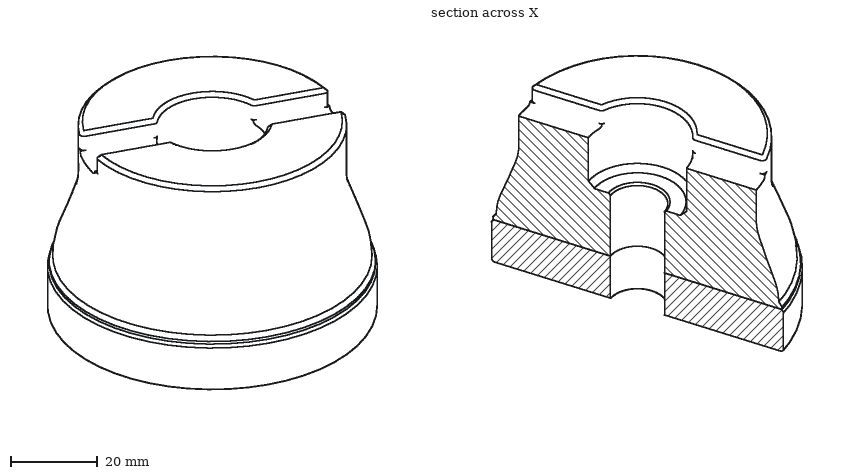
import cadquery as cq
import math

overall_height = 49.95
ring_diameter = 76.15
through_hole_diameter = 14.0

ring_height = 12.25
ring_top_diameter = 75.4
ring_chamfer_height = 0.8
ring_bottom_fillet = 0.9

boss_diameter = 62.0
shoulder_diameter = 73.7
lip_height = 0.7
lip_chamfer_height = 1.2
neck_angle = math.radians(20)
blend_radius = 15.2
boss_base_z = 35.8
edge_chamfer = 1.0

bore_diameter = 25.6
lower_bore_diameter = 25.4
bore_taper_top_z = 43.5
bore_taper_height = 1.15
seat_cone_top_z = 31.8
seat_cone_diameter = 22.85
seat_diameter = 22.5
seat_depth = 0.3
hole_chamfer = 0.5

slot_width = 9.9
slot_depth = 5.6
slot_floor_fillet = 0.9
slot_end_fillet = 1.1


def make_ring():
    outer_radius = ring_diameter / 2
    shoulder_z = ring_height - ring_chamfer_height
    ring = (
        cq.Workplane("XZ")
        .lineTo(outer_radius, 0)
        .lineTo(outer_radius, shoulder_z)
        .lineTo(ring_top_diameter / 2, ring_height)
        .lineTo(0, ring_height)
        .close()
        .revolve(360, (0, 0), (0, 1))
        .faces("<Z").edges().fillet(ring_bottom_fillet)
    )
    hole = cq.Workplane("XY").circle(through_hole_diameter / 2).extrude(ring_height)
    return ring.cut(hole)


def make_holder_blank():
    """Solid of revolution: two tangent arcs join the boss, the cone and the shoulder."""
    boss_radius = boss_diameter / 2
    shoulder_radius = shoulder_diameter / 2
    lip_radius = ring_top_diameter / 2
    lip_top_z = ring_height + lip_height

    blend_height = blend_radius * math.sin(neck_angle)
    blend_offset = blend_radius * (1 - math.cos(neck_angle))
    mid_height = blend_radius * math.sin(neck_angle / 2)
    mid_offset = blend_radius * (1 - math.cos(neck_angle / 2))
    cone_width = shoulder_radius - boss_radius - 2 * blend_offset
    cone_height = cone_width / math.tan(neck_angle)
    cone_top_z = boss_base_z - blend_height
    cone_bottom_z = cone_top_z - cone_height
    shoulder_z = cone_bottom_z - blend_height

    return (
        cq.Workplane("XZ")
        .moveTo(0, ring_height)
        .lineTo(lip_radius, ring_height)
        .lineTo(lip_radius, lip_top_z)
        .lineTo(shoulder_radius, lip_top_z + lip_chamfer_height)
        .lineTo(shoulder_radius, shoulder_z)
        .threePointArc(
            (shoulder_radius - mid_offset, shoulder_z + mid_height),
            (shoulder_radius - blend_offset, cone_bottom_z),
        )
        .lineTo(boss_radius + blend_offset, cone_top_z)
        .threePointArc(
            (boss_radius + mid_offset, boss_base_z - mid_height),
            (boss_radius, boss_base_z),
        )
        .lineTo(boss_radius, overall_height)
        .lineTo(0, overall_height)
        .close()
        .revolve(360, (0, 0), (0, 1))
    )


def make_bore():
    """Bore with a slight taper, a 45 degree seat cone and a chamfered through hole."""
    hole_radius = through_hole_diameter / 2
    bore_radius = bore_diameter / 2
    lower_radius = lower_bore_diameter / 2
    cone_radius = seat_cone_diameter / 2
    cone_bottom_z = seat_cone_top_z - (lower_radius - cone_radius)
    seat_z = cone_bottom_z - seat_depth
    return (
        cq.Workplane("XZ")
        .moveTo(0, ring_height)
        .lineTo(hole_radius, ring_height)
        .lineTo(hole_radius, seat_z - hole_chamfer)
        .lineTo(hole_radius + hole_chamfer, seat_z)
        .lineTo(seat_diameter / 2, seat_z)
        .lineTo(cone_radius, cone_bottom_z)
        .lineTo(lower_radius, seat_cone_top_z)
        .lineTo(lower_radius, bore_taper_top_z - bore_taper_height)
        .lineTo(bore_radius, bore_taper_top_z)
        .lineTo(bore_radius, overall_height)
        .lineTo(0, overall_height)
        .close()
        .revolve(360, (0, 0), (0, 1))
    )


def make_slot_box(depth):
    return (
        cq.Workplane("XY", origin=(0, 0, overall_height - depth))
        .rect(slot_width, ring_diameter)
        .extrude(depth)
    )


def make_holder():
    """The rounded slot mouths stop at the height where the floor fillets begin."""
    wall_depth = slot_depth - slot_floor_fillet
    slot_corners = cq.selectors.BoxSelector(
        (-slot_width, -ring_diameter, overall_height - slot_depth),
        (slot_width, ring_diameter, overall_height),
    )
    slot = make_slot_box(slot_depth).edges("|Y and <Z").fillet(slot_floor_fillet)
    return (
        make_holder_blank()
        .cut(make_bore())
        .cut(make_slot_box(wall_depth))
        .edges("|Z").edges(slot_corners).fillet(slot_end_fillet)
        .faces(">Z").edges().chamfer(edge_chamfer)
        .cut(slot)
    )


ring = make_ring()
holder = make_holder()
result = cq.Compound.makeCompound([ring.val(), holder.val()])